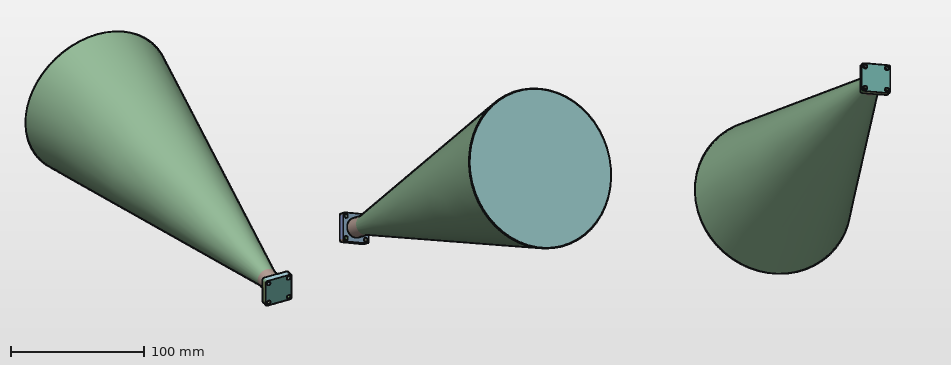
import cadquery as cq

total_length = 294.5
mouth_diameter = 122.0
mouth_bevel = 0.5

tube_diameter = 15.3
tube_length = 14.0
flange_side = 22.0
flange_thickness = 5.3
flange_corner_radius = 1.8

hole_diameter = 3.0
hole_spacing = 16.8

cone_end = total_length - tube_length - flange_thickness
flange_start = total_length - flange_thickness


def make_horn():
    """Solid cone with a beveled mouth rim, narrowing along +X into a straight tube."""
    profile = (
        cq.Workplane("XZ")
        .lineTo(0, mouth_diameter / 2 - mouth_bevel)
        .lineTo(mouth_bevel, mouth_diameter / 2)
        .lineTo(cone_end, tube_diameter / 2)
        .lineTo(flange_start, tube_diameter / 2)
        .lineTo(flange_start, 0)
        .close()
    )
    return profile.revolve(360, (0, 0, 0), (-1, 0, 0))


def make_flange():
    """Square plate with rounded corners and a through hole near each corner."""
    plate = (
        cq.Workplane("YZ", origin=(flange_start, 0, 0))
        .rect(flange_side, flange_side)
        .extrude(flange_thickness)
        .edges("|X")
        .fillet(flange_corner_radius)
    )
    return (
        plate.faces(">X")
        .workplane(origin=(total_length, 0, 0))
        .rect(hole_spacing, hole_spacing, forConstruction=True)
        .vertices()
        .hole(hole_diameter)
    )


result = make_horn().union(make_flange())